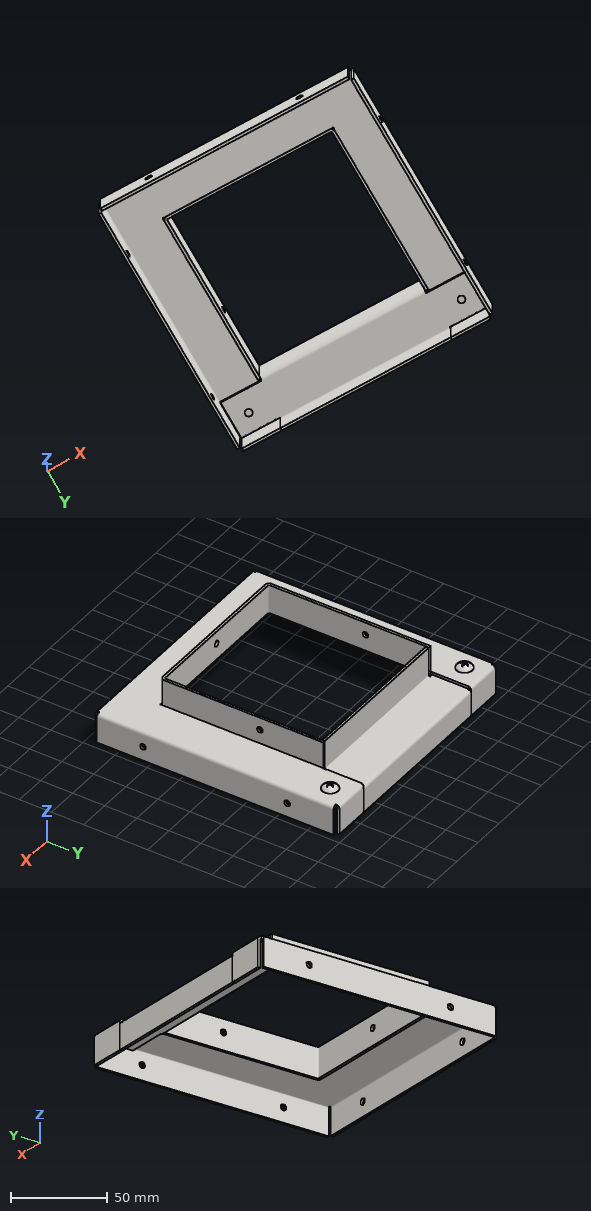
import cadquery as cq
import math

outer_size = 152.4
opening_size = 101.6
frame_height = 18.42
total_height = 34.94
sheet = 1.65
inner_bend = 0.7

flange_hole_dia = 3.73
side_hole_dia = 3.45
flange_hole_offset = 45.0
flange_hole_height = 8.89
collar_hole_drop = 7.85
collar_side_hole_y = 11.2

screw_offset = 63.5
screw_shank_dia = 4.17
screw_head_dia = 9.75
screw_head_height = 2.9
recess_length = 4.4
recess_width = 0.6
recess_depth = 1.6
screw_turns = {-1: 0, 1: -15}

outer_bend = inner_bend + sheet
half_outer = outer_size / 2
half_opening = opening_size / 2
half_inside = half_opening - sheet
half_plate = half_outer - outer_bend
plate_bottom = frame_height - sheet
panel_bottom = plate_bottom - sheet
bend_corner = math.sqrt(0.5)


def block(x_range, y_range, z_range):
    """Axis-aligned box given by its limits."""
    sizes = [high - low for low, high in (x_range, y_range, z_range)]
    corner = (x_range[0], y_range[0], z_range[0])
    return cq.Workplane("XY").box(*sizes, centered=False).translate(corner)


def bent_flange(top, half_width):
    """Bend and down-turned flange on the +Y edge of a plate whose top face is at the given height."""
    bend_z = top - outer_bend

    def on_bend(radius):
        return (half_plate + radius * bend_corner, bend_z + radius * bend_corner)

    return (
        cq.Workplane("YZ", origin=(-half_width, 0, 0))
        .moveTo(half_plate, top)
        .threePointArc(on_bend(outer_bend), (half_outer, bend_z))
        .lineTo(half_outer, 0)
        .lineTo(half_outer - sheet, 0)
        .lineTo(half_outer - sheet, bend_z)
        .threePointArc(on_bend(inner_bend), (half_plate, top - sheet))
        .close()
        .extrude(2 * half_width)
    )


def side_hole(y, height):
    """Drill along X through both side walls."""
    return cq.Workplane("YZ").center(y, height).circle(side_hole_dia / 2).extrude(outer_size, both=True)


def front_hole(diameter, x, height):
    """Drill through the -Y half only."""
    return cq.Workplane("XZ").center(x, height).circle(diameter / 2).extrude(outer_size)


def screw_hole(side):
    """Drill for one screw shank."""
    return (
        cq.Workplane("XY")
        .center(side * screw_offset, screw_offset)
        .circle(screw_shank_dia / 2)
        .extrude(total_height)
    )


def make_frame():
    """Top plate with four down-turned flanges and a slot open to the rear for collar and panel."""
    flat = (-half_plate, half_plate)
    frame = block(flat, flat, (plate_bottom, frame_height))
    for turn in range(4):
        flange = bent_flange(frame_height, half_plate)
        frame = frame.union(flange.rotate((0, 0, 0), (0, 0, 1), 90 * turn))
    slot_x = (-half_opening, half_opening)
    frame = frame.cut(block(slot_x, (-half_opening, outer_size), (0, total_height)))
    for side in (-1, 1):
        place = side * flange_hole_offset
        frame = frame.cut(front_hole(flange_hole_dia, place, flange_hole_height))
        frame = frame.cut(side_hole(place, flange_hole_height))
        frame = frame.cut(screw_hole(side))
    return frame


def make_collar():
    """U-shaped wall: a front and two sides, with bent vertical corners at the front."""
    walls = (-half_opening, half_opening)
    inside = (-half_inside, half_inside)
    heights = (plate_bottom, total_height)
    outside = block(walls, walls, heights).edges("|Z and <Y").fillet(outer_bend)
    hollow = block(inside, (-half_inside, outer_size), heights).edges("|Z and <Y").fillet(inner_bend)
    collar = outside.cut(hollow)
    hole_height = total_height - collar_hole_drop
    collar = collar.cut(front_hole(side_hole_dia, 0, hole_height))
    return collar.cut(side_hole(collar_side_hole_y, hole_height))


def make_rear_panel():
    """Panel under the frame's rear corners, turned up as the collar's back wall and down as a flange."""
    bend_y = half_opening + inner_bend
    bend_z = plate_bottom + inner_bend

    def on_bend(radius):
        return (bend_y - radius * bend_corner, bend_z - radius * bend_corner)

    back_wall = (
        cq.Workplane("YZ", origin=(-half_inside, 0, 0))
        .moveTo(bend_y, plate_bottom)
        .threePointArc(on_bend(inner_bend), (half_opening, bend_z))
        .lineTo(half_opening, total_height)
        .lineTo(half_inside, total_height)
        .lineTo(half_inside, bend_z)
        .threePointArc(on_bend(outer_bend), (bend_y, panel_bottom))
        .close()
        .extrude(2 * half_inside)
    )
    plate = block((-half_plate, half_plate), (bend_y, half_plate), (panel_bottom, plate_bottom))
    panel = plate.union(back_wall).union(bent_flange(plate_bottom, half_opening))
    for side in (-1, 1):
        panel = panel.cut(screw_hole(side))
    return panel


def make_screw(side):
    """Domed cross-recessed screw whose shank ends flush with the underside of the rear panel."""
    head_radius = screw_head_dia / 2
    dome_radius = (head_radius**2 + screw_head_height**2) / (2 * screw_head_height)
    half_angle = math.asin(head_radius / dome_radius) / 2
    dome_middle = (
        dome_radius * math.sin(half_angle),
        screw_head_height - dome_radius * (1 - math.cos(half_angle)),
    )
    shank_radius = screw_shank_dia / 2
    shank_end = panel_bottom - frame_height
    screw = (
        cq.Workplane("XZ")
        .moveTo(0, screw_head_height)
        .threePointArc(dome_middle, (head_radius, 0))
        .lineTo(shank_radius, 0)
        .lineTo(shank_radius, shank_end)
        .lineTo(0, shank_end)
        .close()
        .revolve(360, (0, 0, 0), (0, 1, 0))
    )
    recess_floor = cq.Workplane("XY", origin=(0, 0, screw_head_height - recess_depth))
    recess = recess_floor.rect(recess_length, recess_width).extrude(recess_depth)
    recess = recess.union(recess_floor.rect(recess_width, recess_length).extrude(recess_depth))
    screw = screw.cut(recess).rotate((0, 0, 0), (0, 0, 1), screw_turns[side])
    return screw.translate((side * screw_offset, screw_offset, frame_height))


frame = make_frame()
collar = make_collar()
rear_panel = make_rear_panel()
screws = [make_screw(side) for side in (-1, 1)]

result = cq.Compound.makeCompound(
    [frame.val(), collar.val(), rear_panel.val(), *[screw.val() for screw in screws]]
)